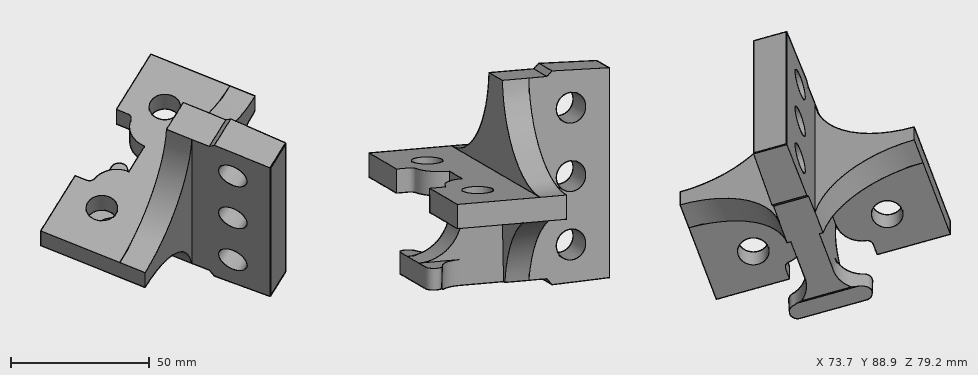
import cadquery as cq
import math

shelf_width = 88.9
shelf_depth = 42.1
shelf_bottom = 33.2
shelf_top = 42.1
shelf_hole_x = 15.2
shelf_hole_y = 25.4
hole_diameter = 11.4

gusset_front = 31.9
gusset_low_front = 32.9
gusset_low = 2.4
gusset_high = 77.3
upper_flank_radius = 37.8
lower_flank_radius = 38.4

tongue_end = 73.7
tongue_half_root = 6.8
tongue_half_end = 6.3
height = 79.2
step_start = 49.2
step_end = 51.2
tongue_end_drop = 0.7
end_chamfer = 0.3
tongue_hole_x = 58.6
tongue_hole_pitch = 25.3

web_front = 16.5
web_half_top = 6.4
web_half_low = 5.4
foot_top = 12.1
foot_bottom = 4.0
foot_chamfer_start = 6.5
foot_chamfer_end = 7.9
foot_half = 15.8
foot_tip_radius = 3.1
foot_flare_y = 16.5
foot_draft = 0.3

slot_half_mouth = 16.6
slot_straight = 4.6
slot_radius = 9.8
flare_y = web_half_top + slot_radius


def point_on(center, radius, angle):
    return (center[0] + radius * math.cos(angle), center[1] + radius * math.sin(angle))


def direction(start, end):
    return math.atan2(end[1] - start[1], end[0] - start[0])


def flip(point):
    return (point[0], -point[1])


def make_shelf():
    size = (shelf_depth, shelf_width, shelf_top - shelf_bottom)
    return cq.Workplane("XY", origin=(0, 0, shelf_bottom)).box(*size, centered=(False, True, False))


def make_gusset():
    half = shelf_width / 2
    upper_center = (half, shelf_top + upper_flank_radius)
    lower_center = (half, shelf_bottom - lower_flank_radius)
    upper_angle = math.pi + math.asin((upper_center[1] - gusset_high) / upper_flank_radius)
    lower_angle = math.pi - math.asin((gusset_low - lower_center[1]) / lower_flank_radius)
    high = point_on(upper_center, upper_flank_radius, upper_angle)
    high_mid = point_on(upper_center, upper_flank_radius, (upper_angle + 1.5 * math.pi) / 2)
    low = point_on(lower_center, lower_flank_radius, lower_angle)
    low_mid = point_on(lower_center, lower_flank_radius, (lower_angle + 0.5 * math.pi) / 2)
    plate = (
        cq.Workplane("YZ", origin=(gusset_front, 0, 0))
        .moveTo(0, gusset_low)
        .lineTo(*low)
        .threePointArc(low_mid, (half, shelf_bottom))
        .lineTo(half, shelf_top)
        .threePointArc(high_mid, high)
        .lineTo(0, gusset_high)
        .close()
        .extrude(shelf_depth - gusset_front)
    )
    lean = (
        cq.Workplane("XZ")
        .polyline([
            (gusset_front, shelf_bottom),
            (gusset_front, gusset_low),
            (gusset_low_front, gusset_low),
        ])
        .close()
        .extrude(shelf_width, both=True)
    )
    return plate.union(plate.mirror("XZ")).cut(lean)


def make_tongue():
    side = (
        cq.Workplane("XZ")
        .polyline([
            (shelf_depth, gusset_low),
            (step_start, gusset_low),
            (step_end, 0),
            (tongue_end, tongue_end_drop),
            (tongue_end, height - tongue_end_drop),
            (step_end, height),
            (step_start, gusset_high),
            (shelf_depth, gusset_high),
        ])
        .close()
        .extrude(shelf_width, both=True)
    )
    thickness = (
        cq.Workplane("XY")
        .polyline([
            (shelf_depth, -tongue_half_root),
            (tongue_end, -tongue_half_end),
            (tongue_end, tongue_half_end),
            (shelf_depth, tongue_half_root),
        ])
        .close()
        .extrude(height)
    )
    return side.intersect(thickness).faces(">X").chamfer(end_chamfer)


def make_web():
    curve_center = (0, foot_top + web_front)
    side = (
        cq.Workplane("XZ")
        .moveTo(0, foot_bottom)
        .lineTo(foot_chamfer_start, foot_bottom)
        .lineTo(foot_chamfer_end, gusset_low)
        .lineTo(gusset_low_front, gusset_low)
        .lineTo(gusset_low_front, shelf_top)
        .lineTo(web_front, shelf_top)
        .lineTo(web_front, curve_center[1])
        .threePointArc(point_on(curve_center, web_front, -math.pi / 4), (0, foot_top))
        .close()
        .extrude(shelf_width, both=True)
    )
    section = (
        cq.Workplane("YZ")
        .polyline([
            (-web_half_low, gusset_low),
            (web_half_low, gusset_low),
            (web_half_top, shelf_bottom),
            (web_half_top, shelf_top),
            (-web_half_top, shelf_top),
            (-web_half_top, shelf_bottom),
        ])
        .close()
        .extrude(shelf_depth)
    )
    return side.intersect(section).union(side.intersect(make_foot()))


def draw_foot(plane, inset):
    """Outline with rounded tips that flow into concave curves toward the web."""
    radius = foot_tip_radius - inset / 2
    tip = (radius, foot_half - inset - radius)
    flare = (web_front, foot_flare_y)
    toward = direction(tip, flare)
    flare_radius = math.dist(tip, flare) - radius
    joint = point_on(tip, radius, toward)
    flare_mid = point_on(flare, flare_radius, (toward + math.pi + 1.5 * math.pi) / 2)
    tip_mid = point_on(tip, radius, (toward + math.pi) / 2)
    root = (web_front, foot_flare_y - flare_radius)
    return (
        plane.moveTo(0, -tip[1])
        .lineTo(0, tip[1])
        .threePointArc(tip_mid, joint)
        .threePointArc(flare_mid, root)
        .lineTo(*flip(root))
        .threePointArc(flip(flare_mid), flip(joint))
        .threePointArc(flip(tip_mid), (0, -tip[1]))
        .close()
    )


def make_foot():
    upper = draw_foot(cq.Workplane("XY", origin=(0, 0, foot_top)), 0)
    return draw_foot(upper.workplane(offset=gusset_low - foot_top), foot_draft).loft(ruled=True)


def make_slot():
    """Opening through the shelf whose sides curve in toward the web."""
    run = web_front - slot_straight
    rise = flare_y - slot_half_mouth
    corner_radius = (run**2 + rise**2 - slot_radius**2) / (2 * (slot_radius - rise))
    corner = (slot_straight, slot_half_mouth - corner_radius)
    flare = (web_front, flare_y)
    toward = direction(corner, flare)
    joint = point_on(corner, corner_radius, toward)
    corner_mid = point_on(corner, corner_radius, (toward + math.pi / 2) / 2)
    flare_mid = point_on(flare, slot_radius, (toward + math.pi + 1.5 * math.pi) / 2)
    half = (
        cq.Workplane("XY", origin=(0, 0, shelf_bottom))
        .lineTo(0, slot_half_mouth)
        .lineTo(slot_straight, slot_half_mouth)
        .threePointArc(corner_mid, joint)
        .threePointArc(flare_mid, (web_front, web_half_top))
        .lineTo(web_front, 0)
        .close()
        .extrude(shelf_top - shelf_bottom)
    )
    return half.union(half.mirror("XZ"))


def make_shelf_holes():
    return (
        cq.Workplane("XY", origin=(0, 0, shelf_bottom))
        .pushPoints([(shelf_hole_x, -shelf_hole_y), (shelf_hole_x, shelf_hole_y)])
        .circle(hole_diameter / 2)
        .extrude(shelf_top - shelf_bottom)
    )


def make_tongue_holes():
    middle = height / 2
    return (
        cq.Workplane("XZ")
        .pushPoints([(tongue_hole_x, middle + row * tongue_hole_pitch) for row in (-1, 0, 1)])
        .circle(hole_diameter / 2)
        .extrude(shelf_width, both=True)
    )


result = (
    make_shelf()
    .cut(make_slot())
    .union(make_gusset())
    .union(make_tongue())
    .union(make_web())
    .cut(make_shelf_holes())
    .cut(make_tongue_holes())
)